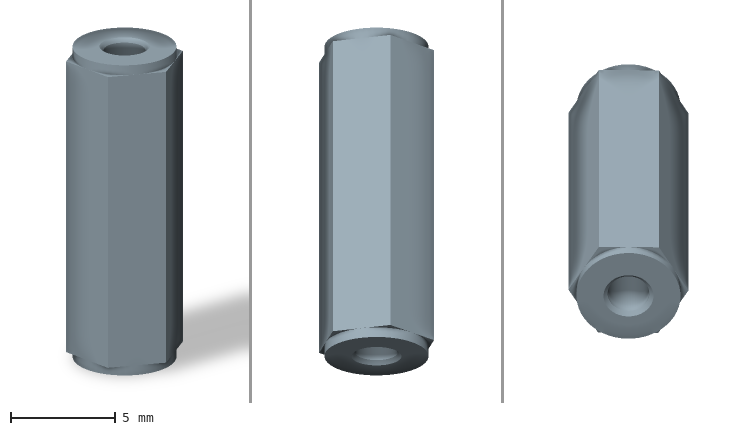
import cadquery as cq
import math

hex_sides = 6
across_flats = 5.0
across_corners = across_flats / math.cos(math.pi / hex_sides)
total_length = 16.0
collar_diameter = across_flats
collar_height = 0.5
hex_length = total_length - 2 * collar_height

hole_diameter = 2.01
hole_depth = 6.0
countersink_diameter = 2.4
countersink_depth = (countersink_diameter - hole_diameter) / 2


def make_body():
    """Hexagonal bar with a round collar at each end."""
    core = cq.Workplane("XY").circle(collar_diameter / 2).extrude(total_length)
    bar = (
        cq.Workplane("XY")
        .workplane(offset=collar_height)
        .polygon(hex_sides, across_corners)
        .extrude(hex_length)
    )
    return bar.union(core)


def make_bottom_hole():
    """Countersunk blind hole entering from the bottom end."""
    hole_radius = hole_diameter / 2
    return (
        cq.Workplane("XZ")
        .lineTo(countersink_diameter / 2, 0)
        .lineTo(hole_radius, countersink_depth)
        .lineTo(hole_radius, hole_depth)
        .lineTo(0, hole_depth)
        .close()
        .revolve(360, (0, 0), (0, 1))
    )


bottom_hole = make_bottom_hole()
top_hole = bottom_hole.mirror("XY", (0, 0, total_length / 2))

result = make_body().cut(bottom_hole).cut(top_hole)